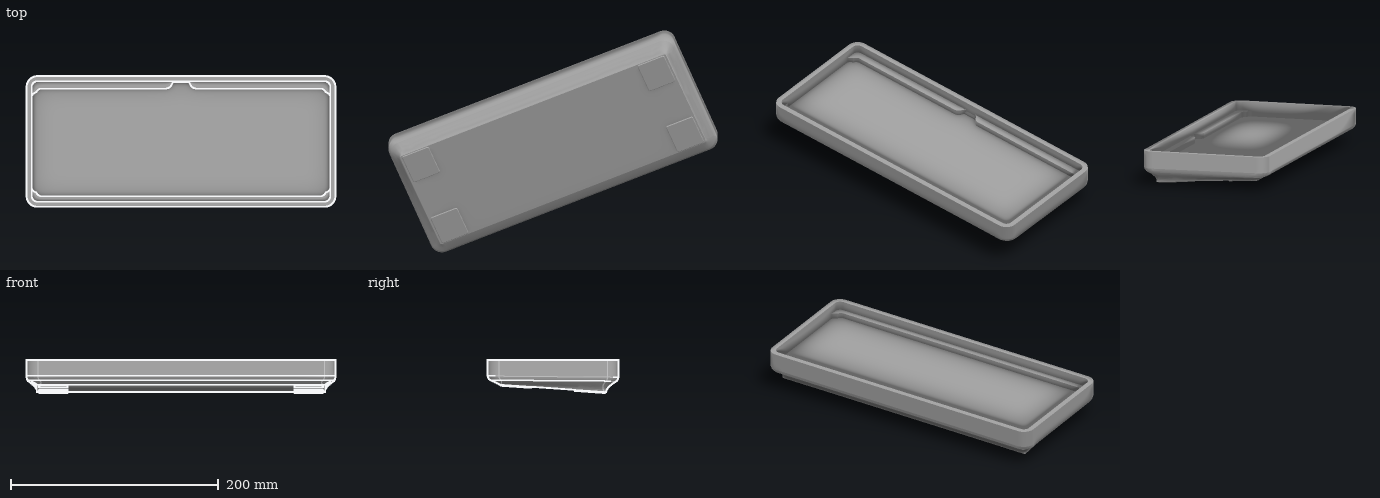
import cadquery as cq
import math

LENGTH = 297.8
WIDTH = 126.3
HEIGHT = 32.2
CORNER_RADIUS = 10.7

WALL = 5.0
LEDGE_DEPTH = 9.0
FLOOR_DEPTH = 14.3
REAR_LEDGE = 7.0
FRONT_LEDGE = 5.5

PAD_X = 8.5
PAD_Y = 7.0
SCALLOP_SAG = 0.5

NOTCH_HALF_WIDTH = 4.8
NOTCH_INNER_RADIUS = 4.2
NOTCH_OUTER_RADIUS = 6.5
SILL_WIDTH = 1.0
SILL_TOP_DEPTH = 10.5
SILL_BEVEL_DEPTH = 13.0

BELT_REAR_DEPTH = 16.7
BELT_FRONT_DEPTH = 15.5
CREASE_REAR_DEPTH = 20.5
CREASE_FRONT_DEPTH = 19.7
CREASE_SIDE_INSET = 1.5
CREASE_REAR_INSET = 1.8
CREASE_FRONT_INSET = 2.7
BASE_SIDE_INSET = 10.0
BASE_END_INSET = 12.0
BASE_CORNER_RADIUS = 1.5
BULGE_STEPS = 2
SWEEP_STEPS = 3
BULGE_POWER = 2
HOLLOW_POWER = 1.9
BASE_TILT = 4.0

FOOT_LENGTH = 28.0
FOOT_WIDTH = 30.0
FOOT_HEIGHT = 1.05
FOOT_MARGIN_X = 1.8
FOOT_MARGIN_Y = 0.5
FOOT_RADIUS = 1.8
FOOT_CHAMFER = 0.5

HALF_LENGTH = LENGTH / 2
HALF_WIDTH = WIDTH / 2
BELT_MID_DEPTH = (BELT_REAR_DEPTH + BELT_FRONT_DEPTH) / 2
BELT_SLOPE = (BELT_REAR_DEPTH - BELT_FRONT_DEPTH) / WIDTH
CREASE_MID_DEPTH = (CREASE_REAR_DEPTH + CREASE_FRONT_DEPTH) / 2
CREASE_SLOPE = (CREASE_REAR_DEPTH - CREASE_FRONT_DEPTH) / WIDTH
BASE_SLOPE = math.tan(math.radians(BASE_TILT))
FOOT_REAR_Y = HALF_WIDTH - BASE_END_INSET - FOOT_MARGIN_Y
TREAD_REAR_Y = FOOT_REAR_Y - FOOT_CHAMFER
FOOT_DROP = FOOT_HEIGHT / math.cos(math.radians(BASE_TILT))
BASE_MID_DEPTH = HEIGHT - FOOT_DROP - BASE_SLOPE * TREAD_REAR_Y


def blend(start, end, fraction):
    return start + (end - start) * fraction


def tilted_plane(mid_depth, slope):
    """Plane through x = y = 0 that sinks by `slope` per unit of +y."""
    return cq.Plane(origin=(0, 0, -mid_depth), xDir=(1, 0, 0), normal=(0, slope, 1))


def section(mid_depth, slope, side_inset, rear_inset, front_inset, radius):
    """Rounded rectangle on a tilted plane, inset from the outer walls."""
    stretch = math.hypot(1, slope)
    rear = (HALF_WIDTH - rear_inset) * stretch
    front = (front_inset - HALF_WIDTH) * stretch
    outline = (
        cq.Workplane(tilted_plane(mid_depth, slope))
        .center(0, (rear + front) / 2)
        .rect(LENGTH - 2 * side_inset, rear - front)
    )
    wire = outline.val()
    return wire.fillet2D(radius, wire.Vertices())


def bulge_section(t):
    """Section between belt (t = 0) and crease (t = 1), rounding inwards."""
    inward = t ** BULGE_POWER
    return section(
        blend(BELT_MID_DEPTH, CREASE_MID_DEPTH, t),
        blend(BELT_SLOPE, CREASE_SLOPE, t),
        CREASE_SIDE_INSET * inward,
        CREASE_REAR_INSET * inward,
        CREASE_FRONT_INSET * inward,
        CORNER_RADIUS,
    )


def sweep_section(t):
    """Section between crease (t = 0) and base (t = 1), hollow on the sides and rear."""
    hollow = 1 - (1 - t) ** HOLLOW_POWER
    return section(
        blend(CREASE_MID_DEPTH, BASE_MID_DEPTH, t),
        blend(CREASE_SLOPE, BASE_SLOPE, t),
        blend(CREASE_SIDE_INSET, BASE_SIDE_INSET, hollow),
        blend(CREASE_REAR_INSET, BASE_END_INSET, hollow),
        blend(CREASE_FRONT_INSET, BASE_END_INSET, t),
        blend(CORNER_RADIUS, BASE_CORNER_RADIUS, t),
    )


def make_body():
    """Solid block: upright wall, rounded bulge and hollow sweep down to the base."""
    rim = section(0, 0, 0, 0, 0, CORNER_RADIUS)
    wall = cq.Solid.makeLoft([rim, bulge_section(0)], True)
    bulge = cq.Solid.makeLoft([bulge_section(i / BULGE_STEPS) for i in range(BULGE_STEPS + 1)])
    sweep = cq.Solid.makeLoft([sweep_section(i / SWEEP_STEPS) for i in range(SWEEP_STEPS + 1)])
    return cq.Workplane(wall).union(cq.Workplane(bulge)).union(cq.Workplane(sweep))


def make_feet():
    """Four rounded pads on the tilted base, chamfered around the tread."""
    stretch = math.hypot(1, BASE_SLOPE)
    x = HALF_LENGTH - BASE_SIDE_INSET - FOOT_MARGIN_X - FOOT_LENGTH / 2
    y = (FOOT_REAR_Y - FOOT_WIDTH / 2) * stretch
    down = cq.Vector(0, -BASE_SLOPE, -1)
    feet = (
        cq.Workplane(tilted_plane(BASE_MID_DEPTH, BASE_SLOPE))
        .rect(2 * x, 2 * y, forConstruction=True)
        .vertices()
        .rect(FOOT_LENGTH, FOOT_WIDTH)
        .extrude(-FOOT_HEIGHT)
    )
    feet = feet.edges(cq.selectors.ParallelDirSelector(down)).fillet(FOOT_RADIUS)
    return feet.faces(cq.selectors.DirectionMinMaxSelector(down, True)).chamfer(FOOT_CHAMFER)


def make_recess():
    """Opening down to the ledges."""
    return (
        cq.Workplane("XY")
        .rect(LENGTH - 2 * WALL, WIDTH - 2 * WALL)
        .extrude(-LEDGE_DEPTH)
        .edges("|Z")
        .fillet(CORNER_RADIUS - WALL)
    )


def scalloped(outline, start, end):
    """Add two equal arcs from start to end, bowed away from the pocket centre."""
    cusp = ((start[0] + end[0]) / 2, (start[1] + end[1]) / 2)
    span = math.dist(start, end)
    bow_x = math.copysign(abs(end[1] - start[1]), start[0]) / span * SCALLOP_SAG
    bow_y = math.copysign(abs(end[0] - start[0]), start[1]) / span * SCALLOP_SAG
    for a, b in ((start, cusp), (cusp, end)):
        crest = ((a[0] + b[0]) / 2 + bow_x, (a[1] + b[1]) / 2 + bow_y)
        outline = outline.threePointArc(crest, b)
    return outline


def make_pocket():
    """Floor pocket between the ledges, as wide as the opening."""
    side = HALF_LENGTH - WALL
    pad_side = side - PAD_X
    rear = HALF_WIDTH - WALL - REAR_LEDGE
    front = -HALF_WIDTH + WALL + FRONT_LEDGE
    pads = (
        ((pad_side, front), (side, front + PAD_Y)),
        ((side, rear - PAD_Y), (pad_side, rear)),
        ((-pad_side, rear), (-side, rear - PAD_Y)),
        ((-side, front + PAD_Y), (-pad_side, front)),
    )
    outline = cq.Workplane("XY").moveTo(-pad_side, front)
    for start, end in pads:
        outline = scalloped(outline.lineTo(*start), start, end)
    return outline.close().extrude(-FLOOR_DEPTH)


def make_notch():
    """S-sided opening through the rear ledge, with a bevelled sill left at the back."""
    back = HALF_WIDTH - WALL
    mouth = back - REAR_LEDGE
    turn = math.acos(1 - REAR_LEDGE / (NOTCH_INNER_RADIUS + NOTCH_OUTER_RADIUS))
    joint_x = NOTCH_HALF_WIDTH + NOTCH_INNER_RADIUS * math.sin(turn)
    joint_y = back - NOTCH_INNER_RADIUS * (1 - math.cos(turn))
    mouth_x = joint_x + NOTCH_OUTER_RADIUS * math.sin(turn)
    right_half = (
        cq.Workplane("XY")
        .moveTo(0, back)
        .lineTo(NOTCH_HALF_WIDTH, back)
        .tangentArcPoint((joint_x, joint_y), relative=False)
        .tangentArcPoint((mouth_x, mouth), relative=False)
        .lineTo(mouth_x, 0)
        .lineTo(0, 0)
        .close()
        .extrude(-FLOOR_DEPTH)
    )
    sill = (
        cq.Workplane("YZ")
        .moveTo(back, -SILL_TOP_DEPTH)
        .lineTo(back - SILL_WIDTH, -SILL_BEVEL_DEPTH)
        .lineTo(back - SILL_WIDTH, -FLOOR_DEPTH)
        .lineTo(back, -FLOOR_DEPTH)
        .close()
        .extrude(mouth_x, both=True)
    )
    return right_half.union(right_half.mirror("YZ")).cut(sill)


result = make_body().union(make_feet()).cut(make_recess()).cut(make_pocket().union(make_notch()))